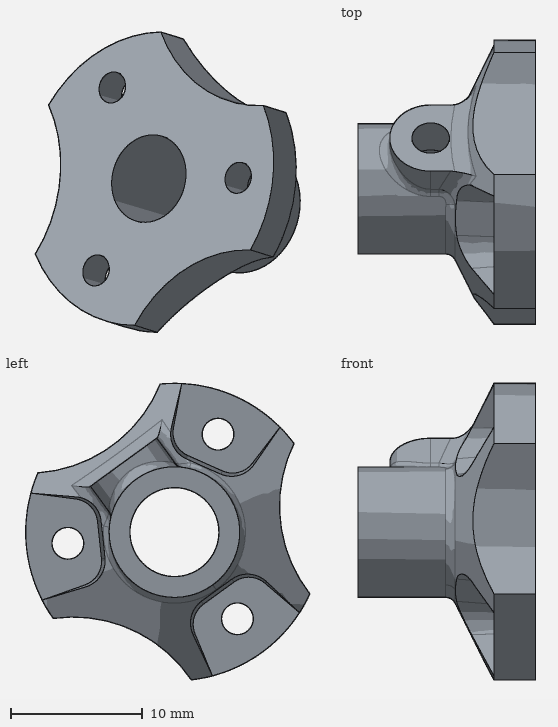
import cadquery as cq
import math

length = 13.48
flange_thickness = 3.15
flange_front = length - flange_thickness

flange_diameter = 22.62
flange_radius = flange_diameter / 2
sleeve_radius = 4.95
bore_diameter = 6.75
cone_slope = 2.0
cone_start = flange_front - (flange_radius - sleeve_radius) / cone_slope
sleeve_fillet = 0.8

arm_count = 3
arm_pitch = 360.0 / arm_count
scallop_radius = 10.82
scallop_depth_radius = 8.1
bolt_circle_radius = 8.15
bolt_hole_diameter = 2.4

pocket_inner = 5.73
pocket_outer = 13.53
pocket_inner_half_width = 2.93
pocket_side_angle = 13.5
pocket_corner_radius = 1.9
pocket_draft = 5.5
pocket_cut_length = flange_front / 2

ear_height = 6.56
ear_radius = 3.11
ear_center_x = 5.52
ear_hole_diameter = 2.85
ear_cone_fillet = 1.47
selection_margin = 0.23
ear_angle = 54.0


def polar_point(radius, angle):
    """Point in the YZ plane, angle measured from +Y."""
    return radius * math.cos(math.radians(angle)), radius * math.sin(math.radians(angle))


def make_body():
    """Solid of revolution: sleeve, cone and flange."""
    return (
        cq.Workplane("XY")
        .polyline([
            (0, 0),
            (0, -sleeve_radius),
            (cone_start, -sleeve_radius),
            (flange_front, -flange_radius),
            (length, -flange_radius),
            (length, 0),
        ])
        .close()
        .revolve(360, (0, 0, 0), (1, 0, 0))
    )


def make_ear():
    """Round-ended lug rising along +Y from the axis, its tail buried in the flange."""
    tail_length = flange_front - ear_center_x
    pad = cq.Workplane("XZ").center(ear_center_x, 0).circle(ear_radius).extrude(-ear_height)
    tail = (
        cq.Workplane("XZ")
        .center(ear_center_x + tail_length / 2, 0)
        .rect(tail_length, 2 * ear_radius)
        .extrude(-ear_height)
    )
    return pad.union(tail)


def make_pocket():
    """Drafted bolt head pocket pointing along +Y, floor on the flange front."""
    flare = (pocket_outer - pocket_inner) * math.tan(math.radians(pocket_side_angle))
    outer_half_width = pocket_inner_half_width + flare
    outline = (
        cq.Sketch()
        .polygon([
            (pocket_inner, -pocket_inner_half_width),
            (pocket_outer, -outer_half_width),
            (pocket_outer, outer_half_width),
            (pocket_inner, pocket_inner_half_width),
            (pocket_inner, -pocket_inner_half_width),
        ])
        .vertices("<X")
        .fillet(pocket_corner_radius)
    )
    return (
        cq.Workplane("YZ", origin=(flange_front, 0, 0))
        .placeSketch(outline)
        .extrude(-pocket_cut_length, taper=-pocket_draft)
    )


def scallop(angle):
    """Cylinder that hollows the rim at one angle."""
    center = polar_point(scallop_depth_radius + scallop_radius, angle)
    return cq.Workplane("YZ").center(*center).circle(scallop_radius).extrude(length)


def bolt_hole(angle):
    """Cylinder through the whole length at one bolt position."""
    center = polar_point(bolt_circle_radius, angle)
    return cq.Workplane("YZ").center(*center).circle(bolt_hole_diameter / 2).extrude(length)


part = make_body().union(make_ear())

ear_cone_edges = cq.selectors.BoxSelector(
    (cone_start, sleeve_radius, -ear_radius - selection_margin),
    (flange_front, ear_height + selection_margin, ear_radius + selection_margin),
)
part = part.edges("%HYPERBOLA").edges(ear_cone_edges).fillet(ear_cone_fillet)

sleeve_foot = cq.selectors.BoxSelector(
    (selection_margin, -flange_radius, -flange_radius),
    (cone_start + selection_margin, sleeve_radius + selection_margin, flange_radius),
)
part = part.edges(sleeve_foot).edges("not |Y").fillet(sleeve_fillet)

for index in range(arm_count):
    scallop_angle = index * arm_pitch
    bolt_angle = scallop_angle + arm_pitch / 2
    pocket = make_pocket().rotate((0, 0, 0), (1, 0, 0), bolt_angle)
    part = part.cut(scallop(scallop_angle)).cut(pocket).cut(bolt_hole(bolt_angle))

bore = cq.Workplane("YZ").circle(bore_diameter / 2).extrude(length)
ear_hole = cq.Workplane("XZ").center(ear_center_x, 0).circle(ear_hole_diameter / 2).extrude(-ear_height)
part = part.cut(bore).cut(ear_hole)

result = part.rotate((0, 0, 0), (1, 0, 0), ear_angle)